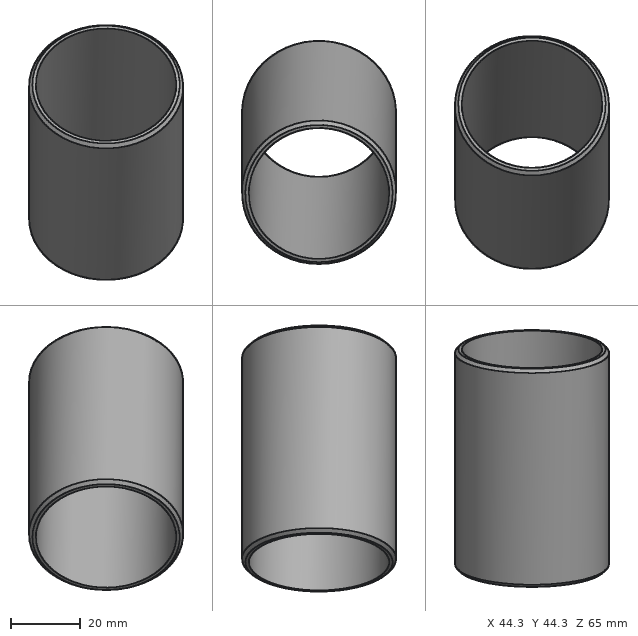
import cadquery as cq

outer_diameter = 44.3
bore_diameter = 40.3
length = 65.0
rim_chamfer = 1.0

tube = (
    cq.Workplane("XY")
    .circle(outer_diameter / 2)
    .extrude(length)
    .faces("<Z or >Z")
    .chamfer(rim_chamfer)
)

result = tube.faces(">Z").workplane().circle(bore_diameter / 2).cutThruAll()